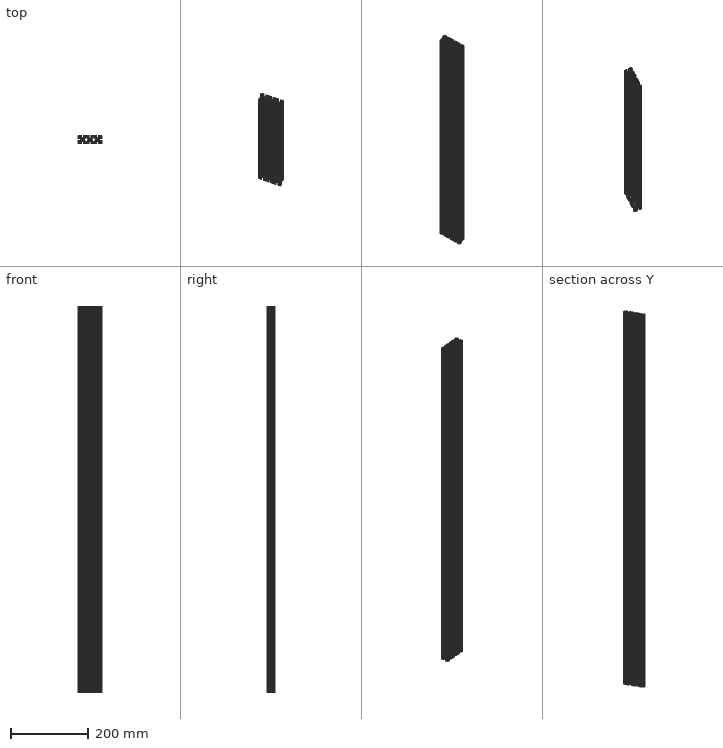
import cadquery as cq

cell = 20.0
cell_count = 3
length = 1000.0
corner_radius = 1.5
skin = 1.5

slot_opening = 6.6
slot_width = 12.0
slot_depth = 5.7
slot_side_height = 2.0
slot_floor_width = 6.0
centre_mark_depth = 0.5

bore_diameter = 5.0
hollow_width = 11.0
hollow_tip_width = 2.0
hollow_side_height = 2.0

seam_width = 1.0
seam_depth = seam_width / 2

half_cell = cell / 2
total_width = cell * cell_count
cell_centres = [cell * (i - (cell_count - 1) / 2) for i in range(cell_count)]
seam_places = [x + half_cell for x in cell_centres[:-1]]


def prism(points):
    """Extrude a closed outline over the full bar length."""
    return cq.Workplane("XY").polyline(points).close().extrude(length)


def placed(cutter, x, angle):
    """Turn a cutter about the cell axis, then move it to the place x."""
    return cutter.rotate((0, 0, 0), (0, 0, 1), angle).translate((x, 0, 0))


def t_slot():
    """T-slot opening towards +Y, with a shallow V mark along its floor."""
    lip_y = half_cell - skin
    floor_y = half_cell - slot_depth
    right_side = [
        (slot_opening / 2, half_cell),
        (slot_opening / 2, lip_y),
        (slot_width / 2, lip_y),
        (slot_width / 2, lip_y - slot_side_height),
        (slot_floor_width / 2, floor_y),
    ]
    left_side = [(-x, y) for x, y in reversed(right_side)]
    return prism(right_side + [(0, floor_y - centre_mark_depth)] + left_side)


def hollow():
    """Eight-sided hollow that leaves diagonal ribs between two cells."""
    tip_x = hollow_tip_width / 2
    tip_y = half_cell - skin
    side_x = hollow_width / 2
    side_y = hollow_side_height / 2
    upper = [(side_x, side_y), (tip_x, tip_y), (-tip_x, tip_y), (-side_x, side_y)]
    lower = [(-x, -y) for x, y in upper]
    return prism(upper + lower)


def seam_groove():
    """V-groove in the +Y face."""
    return prism([
        (-seam_width / 2, half_cell),
        (seam_width / 2, half_cell),
        (0, half_cell - seam_depth),
    ])


bar = cq.Workplane("XY").box(total_width, cell, length, centered=(True, True, False))
bar = bar.edges("|Z").fillet(corner_radius)

for x in cell_centres:
    for angle in (0, 180):
        bar = bar.cut(placed(t_slot(), x, angle))
bar = bar.cut(placed(t_slot(), cell_centres[0], 90))
bar = bar.cut(placed(t_slot(), cell_centres[-1], -90))

bores = cq.Workplane("XY").pushPoints([(x, 0) for x in cell_centres])
bar = bar.cut(bores.circle(bore_diameter / 2).extrude(length))

for x in seam_places:
    bar = bar.cut(placed(hollow(), x, 0))
    for angle in (0, 180):
        bar = bar.cut(placed(seam_groove(), x, angle))

result = bar